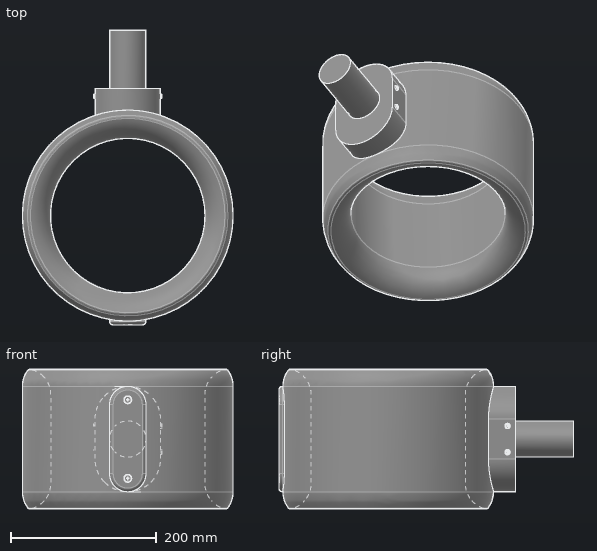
import cadquery as cq
import math

ring_radius = 145.0
bore_radius = 106.0
ring_half_height = 192.21 / 2
outer_round = 37.0
flare_round = 36.0
rim_round = 4.0

body_height = 145.0
upright = 90.0
neck_width = 90.0
neck_end_y = 175.0
stem_diameter = 50.0
stem_end_y = 255.0
plate_width = 50.0
plate_face_y = -150.45
plate_fillet = 5.0

embed_radius = 125.0

plate_screw_head = 9.64
plate_screw_hole = 11.0
plate_screw_gap_depth = 1.0
plate_screw_socket = 4.0
plate_screw_offset_z = 54.0

neck_screw_base = 7.5
neck_screw_top = 5.3
neck_screw_height = 2.0
neck_screw_socket = 2.0
neck_screw_y = 164.0
neck_screw_offset_z = 18.0

socket_slot_width = 1.0
socket_depth = 1.0


def point_on_arc(center, radius, direction):
    """Point at the given radius from center along a direction vector."""
    length = math.hypot(*direction)
    return tuple(c + radius * d / length for c, d in zip(center, direction))


def between(a, b):
    """Vector from point a to point b."""
    return (b[0] - a[0], b[1] - a[1])


def midpoint(a, b):
    """Point halfway between points a and b."""
    return ((a[0] + b[0]) / 2, (a[1] + b[1]) / 2)


def make_ring():
    """Ring revolved from a profile whose rim is three tangent arcs at each end."""
    outer_center = (ring_radius - outer_round, body_height / 2)
    rim_z = ring_half_height - rim_round
    rim_run = math.sqrt((outer_round - rim_round) ** 2 - (rim_z - outer_center[1]) ** 2)
    rim_center = (outer_center[0] + rim_run, rim_z)
    flare_center_radius = bore_radius + flare_round
    flare_run = flare_center_radius - rim_center[0]
    flare_drop = math.sqrt((flare_round - rim_round) ** 2 - flare_run ** 2)
    flare_center = (flare_center_radius, rim_z - flare_drop)

    outer_end = point_on_arc(rim_center, rim_round, between(outer_center, rim_center))
    rim_top = (rim_center[0], ring_half_height)
    flare_end = point_on_arc(rim_center, rim_round, between(flare_center, rim_center))
    outer_start = (ring_radius, outer_center[1])
    flare_start = (bore_radius, flare_center[1])
    outer_mid = point_on_arc(
        outer_center,
        outer_round,
        between(outer_center, midpoint(outer_start, outer_end)),
    )
    flare_mid = point_on_arc(
        flare_center,
        flare_round,
        between(flare_center, midpoint(flare_start, flare_end)),
    )

    upper_half = (
        cq.Workplane("XZ")
        .moveTo(bore_radius, 0)
        .lineTo(ring_radius, 0)
        .lineTo(*outer_start)
        .threePointArc(outer_mid, outer_end)
        .threePointArc(rim_top, flare_end)
        .threePointArc(flare_mid, flare_start)
        .close()
        .revolve(360, (0, 0, 0), (0, 1, 0))
    )
    return upper_half.union(upper_half.mirror("XY"))


def make_neck():
    """Obround neck and round stem behind the ring."""
    neck = cq.Workplane("XZ").slot2D(body_height, neck_width, upright).extrude(-neck_end_y)
    stem = cq.Workplane("XZ").circle(stem_diameter / 2).extrude(-stem_end_y)
    return neck.union(stem)


def make_plate():
    """Obround plate with a rounded front edge, standing out of the ring wall."""
    return (
        cq.Workplane("XZ", origin=(0, plate_face_y, 0))
        .slot2D(body_height, plate_width, upright)
        .extrude(plate_face_y)
        .faces("<Y")
        .edges()
        .fillet(plate_fillet)
    )


def make_cross_socket(head_height, socket_length):
    """Cross-shaped cutter that sinks into a head whose top is head_height above the XY plane."""
    floor = cq.Workplane("XY", origin=(0, 0, head_height - socket_depth))
    slot = floor.rect(socket_length, socket_slot_width).extrude(socket_depth)
    cross_slot = floor.rect(socket_slot_width, socket_length).extrude(socket_depth)
    return slot.union(cross_slot)


def cut_plate_screws(body):
    """Two flush screws in the plate, one near each end, facing -Y."""
    gap = (
        cq.Workplane("XY")
        .circle(plate_screw_hole / 2)
        .circle(plate_screw_head / 2)
        .extrude(-plate_screw_gap_depth)
    )
    cutter = gap.add(make_cross_socket(0, plate_screw_socket)).combine()
    cutter = cutter.rotate((0, 0, 0), (1, 0, 0), 90)
    for z in (-plate_screw_offset_z, plate_screw_offset_z):
        body = body.cut(cutter.translate((0, plate_face_y, z)))
    return body


def make_neck_screw():
    """Conical screw head with a cross socket, seated on the XY plane and facing +Z."""
    head = (
        cq.Workplane("XY")
        .circle(neck_screw_base / 2)
        .workplane(offset=neck_screw_height)
        .circle(neck_screw_top / 2)
        .loft()
    )
    return head.cut(make_cross_socket(neck_screw_height, neck_screw_socket))


def add_neck_screws(body):
    """Two screws on each flat side of the neck, facing -X and +X."""
    screw = make_neck_screw()
    for side in (-1, 1):
        turned = screw.rotate((0, 0, 0), (0, 1, 0), side * 90)
        for z in (-neck_screw_offset_z, neck_screw_offset_z):
            body = body.union(turned.translate((side * neck_width / 2, neck_screw_y, z)))
    return body


embed_cutter = cq.Workplane("XY").circle(embed_radius).extrude(body_height, both=True)
attachments = make_neck().union(make_plate()).cut(embed_cutter)
result = make_ring().union(attachments)
result = cut_plate_screws(result)
result = add_neck_screws(result)